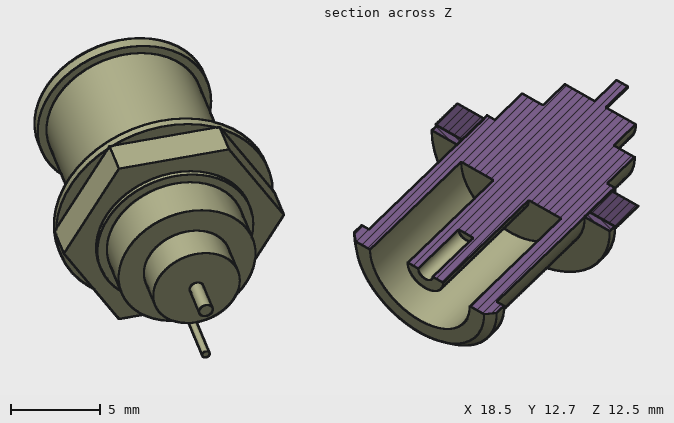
import cadquery as cq
import math

length = 18.5

rim_dia = 10.0
rim_length = 1.2
rim_chamfer = 0.5
barrel_dia = 9.0
barrel_end = 12.0
bore_dia = 7.0
bore_depth = 8.32

collar_dia = 7.9
collar_end = 14.5
boss_dia = 5.0
boss_end = 16.5

socket_dia = 2.5
socket_recess = 0.5
socket_hole_dia = 1.0
socket_hole_depth = 3.7
centre_pin_dia = 0.8
ground_pin_dia = 0.45
ground_pin_offset = 3.2

washer_start = 9.21
washer_dia = 12.5
washer_thickness = 0.5
nut_across_flats = 10.99
nut_thickness = 2.0
nut_across_corners = nut_across_flats / math.cos(math.pi / 6)
nut_start = washer_start + washer_thickness


def plane_at(x):
    """YZ workplane at the given place along the connector axis."""
    return cq.Workplane("YZ", origin=(x, 0, 0))


def cylinder(diameter, start, end, z=0):
    """Solid cylinder along X from start to end, with its axis at height z."""
    return plane_at(start).center(0, z).circle(diameter / 2).extrude(end - start)


def make_connector():
    """Shell, socket and solder pins as one solid."""
    rim = cylinder(rim_dia, 0, rim_length).faces("<X").chamfer(rim_chamfer)
    body = rim.union(cylinder(barrel_dia, 0, barrel_end))
    body = body.union(cylinder(collar_dia, barrel_end, collar_end))
    body = body.union(cylinder(boss_dia, collar_end, boss_end))
    body = body.cut(cylinder(bore_dia, 0, bore_depth))

    socket_hole_end = socket_recess + socket_hole_depth
    body = body.union(cylinder(socket_dia, socket_recess, bore_depth))
    body = body.cut(cylinder(socket_hole_dia, socket_recess, socket_hole_end))

    body = body.union(cylinder(centre_pin_dia, boss_end, length))
    return body.union(cylinder(ground_pin_dia, collar_end, length, -ground_pin_offset))


def make_washer():
    """Flat ring that fits on the barrel in front of the nut."""
    washer = cylinder(washer_dia, washer_start, nut_start)
    return washer.cut(cylinder(barrel_dia, washer_start, nut_start))


def make_nut():
    """Hexagonal nut with two corners on the Y axis."""
    nut = plane_at(nut_start).polygon(6, nut_across_corners).extrude(nut_thickness)
    return nut.cut(cylinder(barrel_dia, nut_start, nut_start + nut_thickness))


connector = make_connector()
washer = make_washer()
nut = make_nut()

result = cq.Compound.makeCompound([connector.val(), washer.val(), nut.val()])